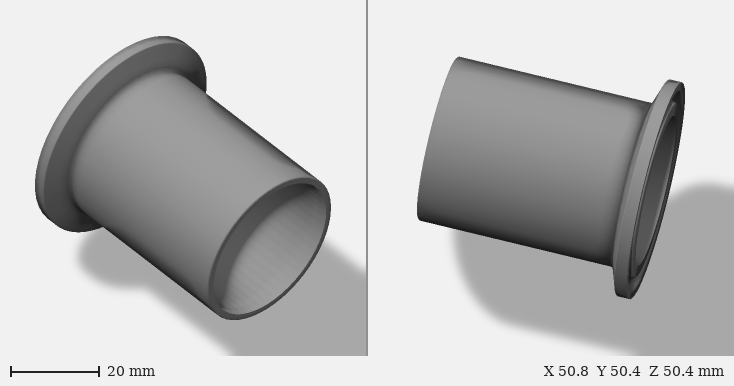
import cadquery as cq
import math

length = 50.8
flange_diameter = 50.4
tube_diameter = 38.1
bore_diameter = 34.8

rim_width = 2.9
cone_angle = 20.0
rim_fillet = 0.3
root_fillet = 1.0

groove_diameter = 43.5
groove_bottom_radius = 1.15
groove_edge_radius = 0.55
groove_wall_length = 0.6
groove_wall_angle = 70.0

end_chamfer = 0.2

flange_radius = flange_diameter / 2
tube_radius = tube_diameter / 2
bore_radius = bore_diameter / 2


def revolve_about_x(profile):
    """Turn a profile drawn as (axial, radial) points about the X axis."""
    return profile.close().revolve(360, (0, 0, 0), (1, 0, 0))


def circle_edges_at(body, x, radius):
    """Select the circular edge of the given radius at axial position x."""
    margin = 0.025
    box = cq.selectors.BoxSelector(
        (x - margin, -radius - margin, -radius - margin),
        (x + margin, radius + margin, radius + margin),
        boundingbox=True,
    )
    return body.edges(box).edges(cq.selectors.RadiusNthSelector(-1))


def make_ferrule():
    cone_end = rim_width + (flange_radius - tube_radius) * math.tan(math.radians(cone_angle))
    body = revolve_about_x(
        cq.Workplane("XY")
        .moveTo(0, bore_radius)
        .lineTo(0, flange_radius)
        .lineTo(rim_width, flange_radius)
        .lineTo(cone_end, tube_radius)
        .lineTo(length, tube_radius)
        .lineTo(length, bore_radius)
    )
    body = circle_edges_at(body, cone_end, tube_radius).fillet(root_fillet)
    body = circle_edges_at(body, rim_width, flange_radius).fillet(rim_fillet)
    return circle_edges_at(body, length, tube_radius).chamfer(end_chamfer)


def make_groove():
    wall = math.radians(groove_wall_angle)
    center = groove_diameter / 2

    wall_bottom_offset = groove_bottom_radius * math.sin(wall)
    wall_top_offset = wall_bottom_offset + groove_wall_length * math.cos(wall)
    wall_top_depth = groove_edge_radius * (1 - math.cos(wall))
    wall_bottom_depth = wall_top_depth + groove_wall_length * math.sin(wall)

    groove_depth = wall_bottom_depth + groove_bottom_radius * (1 - math.cos(wall))
    half_width = wall_top_offset + groove_edge_radius * math.sin(wall)

    edge_offset = half_width - groove_edge_radius * math.sin(wall / 2)
    edge_depth = groove_edge_radius * (1 - math.cos(wall / 2))

    return revolve_about_x(
        cq.Workplane("XY")
        .moveTo(0, center + half_width)
        .threePointArc((edge_depth, center + edge_offset), (wall_top_depth, center + wall_top_offset))
        .lineTo(wall_bottom_depth, center + wall_bottom_offset)
        .threePointArc((groove_depth, center), (wall_bottom_depth, center - wall_bottom_offset))
        .lineTo(wall_top_depth, center - wall_top_offset)
        .threePointArc((edge_depth, center - edge_offset), (0, center - half_width))
    )


result = make_ferrule().cut(make_groove())